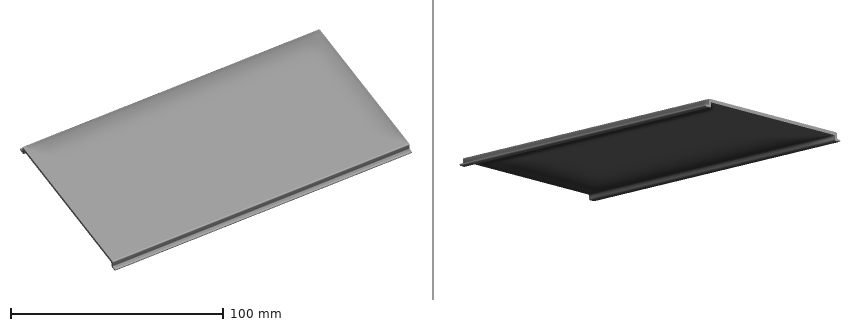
import cadquery as cq

width = 91.8
length = 160.0
height = 4.2

plate_thickness = 1.6
flange_thickness = 1.0
flange_overhang = 2.2
wall_thickness = 1.5
bend_radius = 0.6
flange_tip_radius = 0.4

half_width = width / 2
wall_outer = half_width - flange_overhang
wall_inner = wall_outer - wall_thickness
plate_underside = height - plate_thickness

pick_reach = 0.08


def cover_profile():
    """Hat-shaped section in the XZ plane, centred on X and standing on Z = 0."""
    right_half = [
        (0, height),
        (wall_outer, height),
        (wall_outer, flange_thickness),
        (half_width, flange_thickness),
        (half_width, 0),
        (wall_inner, 0),
        (wall_inner, plate_underside),
        (0, plate_underside),
    ]
    left_half = [(-x, z) for x, z in reversed(right_half[1:-1])]
    return cq.Workplane("XZ").polyline(right_half + left_half).close()


def round_edge_pair(body, x, z, radius):
    """Fillet the full-length edges at +x and -x, at height z."""
    for side_x in (-x, x):
        edge_box = cq.selectors.BoxSelector(
            (side_x - pick_reach, -length, z - pick_reach),
            (side_x + pick_reach, length, z + pick_reach),
        )
        body = body.edges(edge_box).fillet(radius)
    return body


cover = cover_profile().extrude(length / 2, both=True)

bends = [
    (wall_outer, height),
    (wall_outer, flange_thickness),
    (wall_inner, plate_underside),
    (wall_inner, 0),
]
for bend_x, bend_z in bends:
    cover = round_edge_pair(cover, bend_x, bend_z, bend_radius)

for tip_z in (0, flange_thickness):
    cover = round_edge_pair(cover, half_width, tip_z, flange_tip_radius)

result = cover